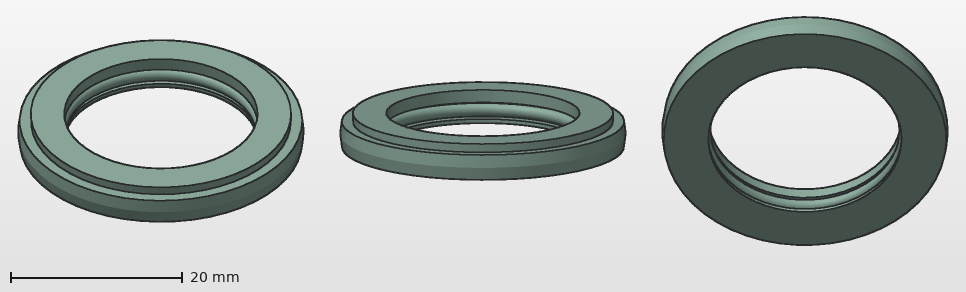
import cadquery as cq

crest_radius = 16.65
rim_radius = 16.45
step_radius = 15.15
bore_radius = 11.25
height = 4.0
shoulder_height = 3.0
crest_height = shoulder_height / 2

groove_width = 2.0
groove_bottom = crest_height - groove_width / 2
groove_top = crest_height + groove_width / 2

seal_inner_radius = 11.0
seal_section_radius = 0.75
seal_center_radius = seal_inner_radius + seal_section_radius
groove_radius = seal_center_radius + seal_section_radius


def make_housing():
    """Stepped ring with a double-tapered rim and a rectangular groove in its bore."""
    profile = [
        (bore_radius, 0),
        (rim_radius, 0),
        (crest_radius, crest_height),
        (rim_radius, shoulder_height),
        (step_radius, shoulder_height),
        (step_radius, height),
        (bore_radius, height),
        (bore_radius, groove_top),
        (groove_radius, groove_top),
        (groove_radius, groove_bottom),
        (bore_radius, groove_bottom),
    ]
    return cq.Workplane("XZ").polyline(profile).close().revolve(360, (0, 0), (0, 1))


def make_seal_ring():
    """Round-section ring centered in the groove and touching its outer wall."""
    section = cq.Workplane("XZ").center(seal_center_radius, crest_height).circle(seal_section_radius)
    return section.revolve(360, (-seal_center_radius, 0), (-seal_center_radius, 1))


housing = make_housing()
seal_ring = make_seal_ring()

result = cq.Compound.makeCompound([housing.val(), seal_ring.val()])